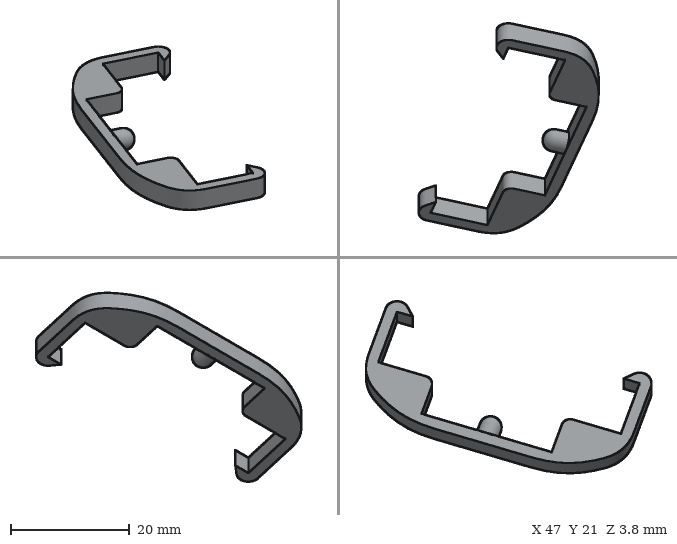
import cadquery as cq
import math

width = 47.0
depth = 21.0
height = 3.8
wall = 2.0
half_width = width / 2

flat_half_width = 8.55
corner_depth = 9.95
corner_width = half_width - flat_half_width

block_top = 9.0
block_inner_x = 11.5
block_fillet = 1.5

hook_radius = wall
hook_base_y = depth - hook_radius
hook_tip_x = 18.65
hook_center_x = half_width - hook_radius

pin_radius = height / 2
pin_nose_y = 6.0


def half_clip():
    """Right half of the clip, cut at the symmetry plane X = 0."""
    inner_x = half_width - wall
    diagonal = hook_radius * math.sqrt(0.5)
    slope_start = (hook_center_x - diagonal, hook_base_y + diagonal)
    ellipse_mid = (
        flat_half_width + corner_width * math.sqrt(0.5),
        corner_depth * (1 - math.sqrt(0.5)),
    )
    body = (
        cq.Workplane("XY")
        .moveTo(0, 0)
        .lineTo(flat_half_width, 0)
        .spline(
            [ellipse_mid, (half_width, corner_depth)],
            tangents=[(1, 0), (0, 1)],
            includeCurrent=True,
        )
        .lineTo(half_width, hook_base_y)
        .threePointArc((hook_center_x, depth), slope_start)
        .lineTo(hook_tip_x, hook_base_y)
        .lineTo(inner_x, hook_base_y)
        .lineTo(inner_x, block_top)
        .lineTo(block_inner_x, block_top)
        .lineTo(block_inner_x, wall)
        .lineTo(0, wall)
        .close()
        .extrude(height)
    )
    block_edge = cq.selectors.NearestToPointSelector((block_inner_x, block_top, height / 2))
    return body.edges("|Z").edges(block_edge).fillet(block_fillet)


def pin():
    """Pin along Y with a hemispherical nose, rooted inside the front wall."""
    root_y = wall / 2
    shoulder_y = pin_nose_y - pin_radius
    nose_mid = (pin_radius * math.sqrt(0.5), shoulder_y + pin_radius * math.sqrt(0.5))
    return (
        cq.Workplane("XY")
        .moveTo(0, root_y)
        .lineTo(pin_radius, root_y)
        .lineTo(pin_radius, shoulder_y)
        .threePointArc(nose_mid, (0, pin_nose_y))
        .close()
        .revolve(360, (0, 0), (0, 1))
        .translate((0, 0, height / 2))
    )


right_half = half_clip()
left_half = right_half.mirror("YZ")
result = right_half.union(left_half).union(pin()).clean()